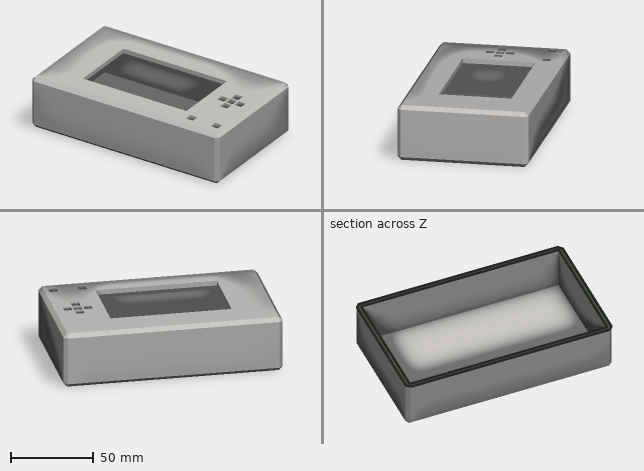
import cadquery as cq

LENGTH = 136.0
WIDTH = 81.0
HEIGHT = 35.0
CHAMFER = 2.5

WALL = 3.0
LID_HEIGHT = 5.0
SEAM_Z = HEIGHT - LID_HEIGHT

WINDOW_LENGTH = 75.1
WINDOW_WIDTH = 45.0
WINDOW_CENTER = (-2.5, -2.5)

DOWEL_DIAMETER = 2.0
DOWEL_DEPTH = 1.0
DOWEL_SPACING = 37.5

BUTTON_SIZE = 5.0
BUTTONS_X = 51.4
PAD_PITCH = 6.3
LOWER_BUTTONS_Y = -30.5
LOWER_BUTTONS_SPACING = 18.0


def make_block():
    """Closed box with every outer edge chamfered."""
    block = cq.Workplane("XY").box(LENGTH, WIDTH, HEIGHT, centered=(True, True, False))
    return block.edges().chamfer(CHAMFER)


def make_cavity(bottom, top):
    """Rectangular inner space between two heights."""
    cavity = cq.Workplane("XY").workplane(offset=bottom)
    return cavity.rect(LENGTH - 2 * WALL, WIDTH - 2 * WALL).extrude(top - bottom)


def make_slab(bottom, top):
    """Slice covering the whole outline between two heights."""
    return cq.Workplane("XY").workplane(offset=bottom).rect(LENGTH, WIDTH).extrude(top - bottom)


def button_centers():
    """Cross-shaped pad of five openings, then the two lower ones on either side of its axis."""
    pad_steps = [(0, 0), (-1, 0), (1, 0), (0, -1), (0, 1)]
    pad = [(BUTTONS_X + PAD_PITCH * column, PAD_PITCH * row) for column, row in pad_steps]
    lower = [(BUTTONS_X + side * LOWER_BUTTONS_SPACING / 2, LOWER_BUTTONS_Y) for side in (-1, 1)]
    return pad + lower


def make_dowel_spaces():
    """Upright pin spaces in both end walls, reaching equally above and below the seam."""
    spaces = cq.Workplane("XY").workplane(offset=SEAM_Z - DOWEL_DEPTH)
    spaces = spaces.rect(LENGTH - WALL, DOWEL_SPACING, forConstruction=True).vertices()
    return spaces.circle(DOWEL_DIAMETER / 2).extrude(2 * DOWEL_DEPTH)


def make_housing():
    """Open-topped box below the seam, with dowel sockets in its rim."""
    lower_half = make_block().intersect(make_slab(0, SEAM_Z))
    return lower_half.cut(make_cavity(WALL, SEAM_Z)).cut(make_dowel_spaces())


def make_lid():
    """Cover with a short skirt, the screen window, the button openings and dowel sockets."""
    lid = make_block().intersect(make_slab(SEAM_Z, HEIGHT))
    lid = lid.cut(make_cavity(SEAM_Z, HEIGHT - WALL))
    plate = cq.Workplane("XY").workplane(offset=SEAM_Z)
    window = plate.center(*WINDOW_CENTER).rect(WINDOW_LENGTH, WINDOW_WIDTH).extrude(LID_HEIGHT)
    buttons = plate.pushPoints(button_centers()).rect(BUTTON_SIZE, BUTTON_SIZE).extrude(LID_HEIGHT)
    return lid.cut(window).cut(buttons).cut(make_dowel_spaces())


housing = make_housing()
lid = make_lid()
result = cq.Compound.makeCompound([housing.val(), lid.val()])